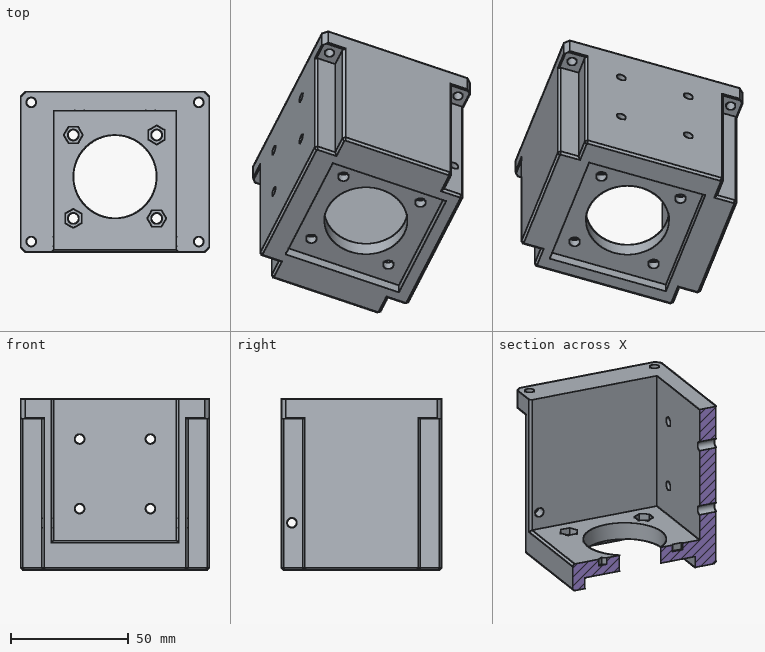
import cadquery as cq
import math

LENGTH = 80.0
DEPTH = 68.0
HEIGHT = 72.5
EDGE_CHAMFER = 1.0

NOTCH_SIZE = 9.0
FLANGE_THICKNESS = 8.5
FLANGE_EDGE_CHAMFER = 0.5
FLANGE_CORNER_CHAMFER = 2.0

SIDE_WALL = 14.0
BACK_WALL = 8.0
FLOOR_HEIGHT = 12.5

SCREW_DIAMETER = 4.0
SCREW_EDGE_DISTANCE = 4.5
SIDE_SCREW_HEIGHT = 20.0
BACK_SCREW_PITCH_X = 30.0
BACK_SCREW_PITCH_Z = 29.5
BACK_SCREW_CENTRE_Z = 40.75

BORE_DIAMETER = 35.2
MOUNT_CENTRE_Y = -2.0
MOUNT_PLATE_THICKNESS = 7.5
MOUNT_CIRCLE_RADIUS = 25.0
MOUNT_SCREW_COUNT = 4
MOUNT_FIRST_ANGLE = 45.0
MOUNT_SCREW_DIAMETER = 4.5
NUT_ACROSS_FLATS = 7.0
NUT_POCKET_DEPTH = 3.0

FLANGE_BOTTOM = HEIGHT - FLANGE_THICKNESS
CAVITY_WIDTH = LENGTH - 2 * SIDE_WALL
CAVITY_DEPTH = DEPTH - BACK_WALL
FRONT_Y = -DEPTH / 2
RECESS_DEPTH = FLOOR_HEIGHT - MOUNT_PLATE_THICKNESS
RECESS_WIDTH = CAVITY_WIDTH
NUT_ACROSS_CORNERS = NUT_ACROSS_FLATS / math.cos(math.pi / 6)


def block(size_x, size_y, bottom, top):
    """Box centred on X and Y between two heights."""
    return cq.Workplane("XY", origin=(0, 0, bottom)).rect(size_x, size_y).extrude(top - bottom)


def make_lower_body():
    """Cross-shaped prism with its outer upright edges and bottom rim chamfered."""
    bar_x = block(LENGTH, DEPTH - 2 * NOTCH_SIZE, 0, HEIGHT).edges("|Z").chamfer(EDGE_CHAMFER)
    bar_y = block(LENGTH - 2 * NOTCH_SIZE, DEPTH, 0, HEIGHT).edges("|Z").chamfer(EDGE_CHAMFER)
    return bar_x.union(bar_y).faces("<Z").chamfer(EDGE_CHAMFER)


def make_flange():
    """Rectangular top flange; its straight lower edges are chamfered and its corners cut off."""
    plate = block(LENGTH, DEPTH, FLANGE_BOTTOM, HEIGHT)
    cut_corners = plate.edges("|Z").chamfer(FLANGE_CORNER_CHAMFER)
    return plate.faces("<Z").chamfer(FLANGE_EDGE_CHAMFER).intersect(cut_corners)


def opening_outline(plane, margin):
    """Rectangle around the front opening, wider and lower by `margin`, up to the top face."""
    width = CAVITY_WIDTH + 2 * margin
    bottom = FLOOR_HEIGHT - margin
    return plane.center(0, (HEIGHT + bottom) / 2).rect(width, HEIGHT - bottom)


def make_cavity():
    """Cavity space, flared where it opens through the front face."""
    cavity = block(CAVITY_WIDTH, CAVITY_DEPTH, FLOOR_HEIGHT, HEIGHT).translate((0, -BACK_WALL / 2, 0))
    outer = opening_outline(cq.Workplane("XZ", origin=(0, FRONT_Y, 0)), EDGE_CHAMFER)
    inner = opening_outline(cq.Workplane("XZ", origin=(0, FRONT_Y + EDGE_CHAMFER, 0)), 0)
    flare = cq.Solid.makeLoft([outer.val(), inner.val()], True)
    return cavity.union(cq.Workplane(flare))


def make_nut_hole():
    """Screw hole through the floor with a hexagonal nut pocket sunk from above."""
    hole = cq.Workplane("XY").circle(MOUNT_SCREW_DIAMETER / 2).extrude(FLOOR_HEIGHT)
    pocket = (
        cq.Workplane("XY", origin=(0, 0, FLOOR_HEIGHT - NUT_POCKET_DEPTH))
        .polygon(6, NUT_ACROSS_CORNERS)
        .extrude(NUT_POCKET_DEPTH)
    )
    return hole.union(pocket)


def make_motor_mount():
    """Bore, underside recess and the ring of nut holes, each hexagon turned with its place."""
    mount = cq.Workplane("XY").circle(BORE_DIAMETER / 2).extrude(FLOOR_HEIGHT)
    mount = mount.union(block(RECESS_WIDTH, RECESS_WIDTH, 0, RECESS_DEPTH))
    nut_hole = make_nut_hole().rotate((0, 0, 0), (0, 0, 1), 90)
    first_angle = math.radians(MOUNT_FIRST_ANGLE)
    nut_hole = nut_hole.translate(
        (MOUNT_CIRCLE_RADIUS * math.cos(first_angle), MOUNT_CIRCLE_RADIUS * math.sin(first_angle), 0)
    )
    for i in range(MOUNT_SCREW_COUNT):
        turn = i * 360 / MOUNT_SCREW_COUNT
        mount = mount.union(nut_hole.rotate((0, 0, 0), (0, 0, 1), turn))
    return mount.translate((0, MOUNT_CENTRE_Y, 0))


def make_flange_screw_holes():
    """Vertical holes through the four flange corners."""
    return (
        cq.Workplane("XY", origin=(0, 0, FLANGE_BOTTOM))
        .rarray(LENGTH - 2 * SCREW_EDGE_DISTANCE, DEPTH - 2 * SCREW_EDGE_DISTANCE, 2, 2)
        .circle(SCREW_DIAMETER / 2)
        .extrude(FLANGE_THICKNESS)
    )


def make_side_screw_hole():
    """One line of holes along X through both side walls, near the front."""
    return (
        cq.Workplane("YZ", origin=(0, FRONT_Y + SCREW_EDGE_DISTANCE, SIDE_SCREW_HEIGHT))
        .circle(SCREW_DIAMETER / 2)
        .extrude(LENGTH / 2, both=True)
    )


def make_back_screw_holes():
    """Rectangular pattern of holes through the back wall."""
    return (
        cq.Workplane("XZ", origin=(0, DEPTH / 2, BACK_SCREW_CENTRE_Z))
        .rarray(BACK_SCREW_PITCH_X, BACK_SCREW_PITCH_Z, 2, 2)
        .circle(SCREW_DIAMETER / 2)
        .extrude(BACK_WALL)
    )


result = (
    make_lower_body()
    .union(make_flange())
    .cut(make_cavity())
    .cut(make_motor_mount())
    .cut(make_flange_screw_holes())
    .cut(make_side_screw_hole())
    .cut(make_back_screw_holes())
)